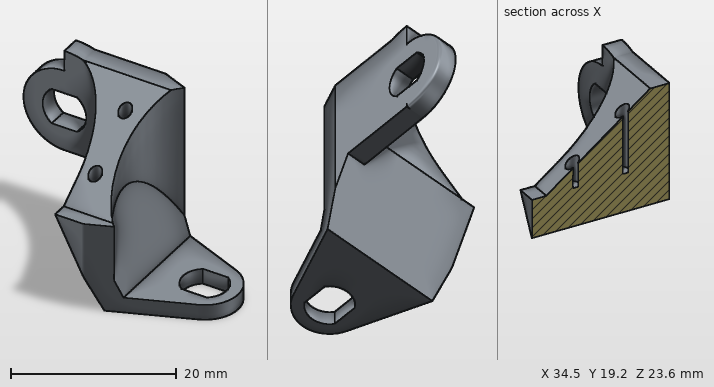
import cadquery as cq
import math

LENGTH = 34.53
HALF_WIDTH = 9.6

PLATE_THICKNESS = 2.7
LUG_RADIUS = 5.8
LUG_X = LUG_RADIUS
LUG_Z = 14.88
LUG_EDGE_ROUND = 0.5
SHOULDER_RADIUS = 8.7
PLATE_INNER_Y = HALF_WIDTH - PLATE_THICKNESS

TOP_Z = 23.17
SHELF_Z = 12.4
SHELF_DEPTH = 2.0
FOOT_X = 20.9
TAB_THICKNESS = 2.18
TAB_RADIUS = 4.7
TAB_X = LENGTH - TAB_RADIUS
TAPER_START_X = 18.47
CORNER_ROUND = 0.93
INNER_FOOT_X = 23.05
INNER_BEND_X = 21.95
INNER_BEND_Z = 4.63
CLEARANCE_RADIUS = 11.33

SLOT_RADIUS = 3.07
SLOT_FLATS = 5.0
HOLE_RADIUS = 0.85
HOLE_X = 16.47
HOLE_Y = 3.5

WALL_X = LUG_X + SHOULDER_RADIUS
SHOULDER_TOP_X = LUG_X + math.sqrt(SHOULDER_RADIUS**2 - (TOP_Z - LUG_Z) ** 2)
SHELF_INNER_Y = SHELF_DEPTH - HALF_WIDTH
DIAGONAL = SHOULDER_RADIUS * math.sqrt(0.5)
SHOULDER_MID = (LUG_X + DIAGONAL, LUG_Z + DIAGONAL)


def side_sketch(y):
    """Workplane in X and Z at the given Y; extruding goes toward -Y."""
    return cq.Workplane("XZ", origin=(0, y, 0))


def double_d(workplane, x, y, depth):
    """Cylinder with two flats parallel to the local x axis."""
    cylinder = workplane.center(x, y).circle(SLOT_RADIUS).extrude(depth)
    flats = workplane.center(x, y).rect(2 * SLOT_RADIUS, SLOT_FLATS).extrude(depth)
    return cylinder.intersect(flats)


def make_plan():
    """Tapered outline seen along Z, with the sides tangent to the tab's round end."""
    run = TAB_X - TAPER_START_X
    distance = math.hypot(run, HALF_WIDTH)
    normal = math.acos(TAB_RADIUS / distance) - math.atan2(HALF_WIDTH, -run)
    tangent_x = TAB_X + TAB_RADIUS * math.cos(normal)
    tangent_y = abs(TAB_RADIUS * math.sin(normal))
    plan = (
        cq.Workplane("XY")
        .moveTo(0, -HALF_WIDTH)
        .lineTo(TAPER_START_X, -HALF_WIDTH)
        .lineTo(tangent_x, -tangent_y)
        .threePointArc((LENGTH, 0), (tangent_x, tangent_y))
        .lineTo(TAPER_START_X, HALF_WIDTH)
        .lineTo(0, HALF_WIDTH)
        .close()
        .extrude(TOP_Z)
    )
    corner = cq.selectors.NearestToPointSelector((TAPER_START_X, -HALF_WIDTH, TOP_Z / 2))
    return plan.edges("|Z").edges(corner).fillet(CORNER_ROUND)


def make_wall():
    """Sloped wall and tab, trimmed to the plan and cleared above the tab."""
    profile = (
        side_sketch(HALF_WIDTH)
        .moveTo(SHOULDER_TOP_X, TOP_Z)
        .threePointArc(SHOULDER_MID, (WALL_X, LUG_Z))
        .lineTo(WALL_X, SHELF_Z)
        .lineTo(FOOT_X, 0)
        .lineTo(LENGTH, 0)
        .lineTo(LENGTH, TOP_Z)
        .close()
        .extrude(2 * HALF_WIDTH)
    )
    slope = (INNER_FOOT_X - INNER_BEND_X) / (INNER_BEND_Z - TAB_THICKNESS)
    above_slope = (
        side_sketch(HALF_WIDTH)
        .moveTo(INNER_FOOT_X, TAB_THICKNESS)
        .lineTo(INNER_FOOT_X - slope * (TOP_Z - TAB_THICKNESS), TOP_Z)
        .lineTo(LENGTH, TOP_Z)
        .lineTo(LENGTH, TAB_THICKNESS)
        .close()
        .extrude(2 * HALF_WIDTH)
    )
    clearance = cq.Workplane("XY").center(TAB_X, 0).circle(CLEARANCE_RADIUS).extrude(TOP_Z)
    above_shelf = (
        cq.Workplane("YZ")
        .moveTo(PLATE_INNER_Y, TOP_Z)
        .lineTo(SHELF_INNER_Y, SHELF_Z)
        .lineTo(-HALF_WIDTH, SHELF_Z)
        .lineTo(-HALF_WIDTH, TOP_Z)
        .close()
        .extrude(LENGTH)
    )
    return profile.intersect(make_plan()).cut(clearance.intersect(above_slope)).cut(above_shelf)


def make_plate():
    """Plate with a raised quarter-round shoulder and a lug rounded on its outer edge."""
    bottom_z = LUG_Z - LUG_RADIUS
    slope_x = WALL_X + (FOOT_X - WALL_X) * (SHELF_Z - bottom_z) / SHELF_Z
    plate = (
        side_sketch(HALF_WIDTH)
        .moveTo(LUG_X, bottom_z)
        .lineTo(LUG_X, LUG_Z + SHOULDER_RADIUS)
        .threePointArc(SHOULDER_MID, (WALL_X, LUG_Z))
        .lineTo(WALL_X, SHELF_Z)
        .lineTo(slope_x, bottom_z)
        .close()
        .extrude(PLATE_THICKNESS)
    )
    lug = (
        side_sketch(HALF_WIDTH)
        .center(LUG_X, LUG_Z)
        .circle(LUG_RADIUS)
        .extrude(PLATE_THICKNESS)
        .edges(">Y")
        .fillet(LUG_EDGE_ROUND)
    )
    return plate.union(lug)


def make_holes():
    """Vertical blind holes with their flat ends level with the shelf."""
    return (
        cq.Workplane("XY", origin=(0, 0, SHELF_Z))
        .pushPoints([(HOLE_X, -HOLE_Y), (HOLE_X, HOLE_Y)])
        .circle(HOLE_RADIUS)
        .extrude(TOP_Z - SHELF_Z)
    )


lug_slot = double_d(side_sketch(HALF_WIDTH), LUG_X, LUG_Z, PLATE_THICKNESS)
tab_slot = double_d(cq.Workplane("XY"), TAB_X, 0, TAB_THICKNESS)
result = make_wall().union(make_plate()).cut(lug_slot).cut(tab_slot).cut(make_holes())